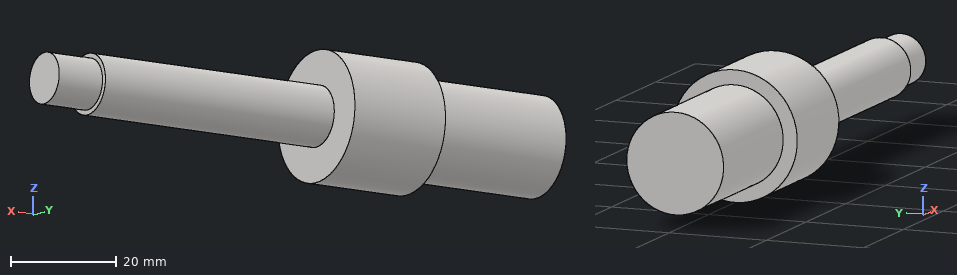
import cadquery as cq

total_length = 114.0
handle_length = 30.0
collar_length = 21.0
tip_length = 10.0
shaft_length = total_length - handle_length - collar_length - tip_length

handle_diameter = 20.0
collar_diameter = 25.8
shaft_diameter = 12.0
tip_diameter = 10.0


def add_step(body, diameter, length):
    """Extend the pin with a coaxial cylinder on its +X face."""
    return body.faces(">X").workplane().circle(diameter / 2).extrude(length)


result = cq.Workplane("YZ").circle(handle_diameter / 2).extrude(handle_length)
result = add_step(result, collar_diameter, collar_length)
result = add_step(result, shaft_diameter, shaft_length)
result = add_step(result, tip_diameter, tip_length)